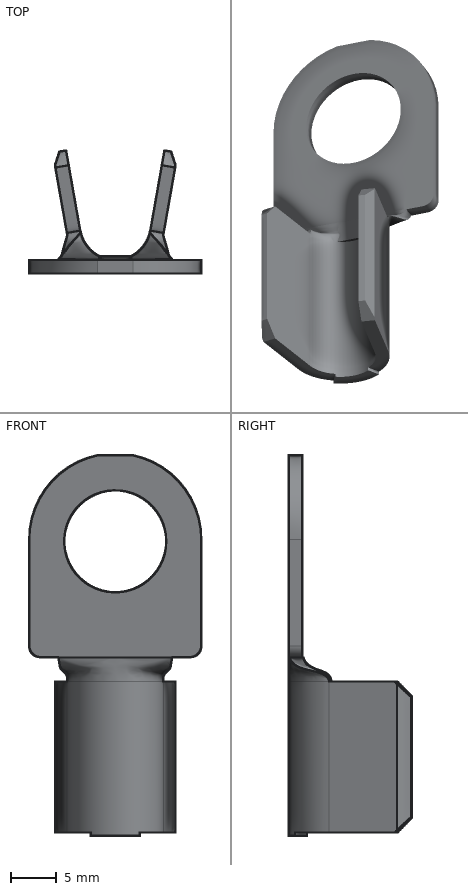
import cadquery as cq
import math


sheet = 1.5

plate_width = 18.8
plate_top = 9.2
plate_bottom = -12.85
hole_diameter = 11.1
hole_drop = 0.2
corner_radius = 1.25

overall_length = 41.53
overall_depth = 13.46
barrel_length = 16.5
barrel_radius = 5.37
wing_lean = 10.0
wing_bevel_length = 1.4
wing_tip_thickness = 0.75
wing_corner = 1.65
tab_height = 0.35
tab_half_angle = 30.0

floor_half_width = 1.75

tab_bottom = plate_top - overall_length
barrel_bottom = tab_bottom + tab_height
barrel_top = barrel_bottom + barrel_length
inner_radius = barrel_radius - sheet
bend_angle = 90.0 - wing_lean
wing_root_depth = barrel_radius - inner_radius * math.cos(math.radians(bend_angle))
wing_length = (overall_depth - wing_root_depth) / math.cos(math.radians(wing_lean))
floor_depth = barrel_radius - math.sqrt(inner_radius**2 - floor_half_width**2)

barrel_half_arc = (barrel_radius - sheet / 2) * math.radians(bend_angle)
neck_stations = [
    (plate_bottom, 2.0, 6.2),
    (plate_bottom - 0.7, 10.0, 6.0),
    (plate_bottom - 1.4, 42.0, 5.8),
    (plate_bottom - 1.9, 72.0, 6.1),
    (barrel_top, bend_angle, barrel_half_arc),
]


def arc_point(radius, centre_depth, degrees):
    """Point on a bend, measured from the front-most point of the arc."""
    angle = math.radians(degrees)
    return (radius * math.sin(angle), centre_depth - radius * math.cos(angle))


def horizontal_plane(height):
    """Plane facing +Z, with its own axes along X and Y."""
    return cq.Workplane("XY", origin=(0, 0, height))


def bent_strip(height, outer_radius, half_angle):
    """Cross-section of the sheet bent symmetrically about the YZ plane."""
    inner = outer_radius - sheet
    return (
        horizontal_plane(height)
        .moveTo(*arc_point(outer_radius, outer_radius, -half_angle))
        .threePointArc((0, 0), arc_point(outer_radius, outer_radius, half_angle))
        .lineTo(*arc_point(inner, outer_radius, half_angle))
        .threePointArc((0, sheet), arc_point(inner, outer_radius, -half_angle))
        .close()
    )


def make_plate():
    half_width = plate_width / 2
    half_flat = math.sqrt(half_width**2 - plate_top**2)
    shoulder = half_width * math.sqrt(0.5)
    outline = (
        cq.Workplane("XZ")
        .moveTo(-half_width, plate_bottom)
        .lineTo(half_width, plate_bottom)
        .lineTo(half_width, 0)
        .threePointArc((shoulder, shoulder), (half_flat, plate_top))
        .lineTo(-half_flat, plate_top)
        .threePointArc((-shoulder, shoulder), (-half_width, 0))
        .close()
    )
    plate = outline.extrude(-sheet).edges("|Y and <Z").fillet(corner_radius)
    hole = cq.Workplane("XZ").center(0, -hole_drop).circle(hole_diameter / 2).extrude(-sheet)
    return plate.cut(hole)


def make_neck():
    wires = []
    for height, half_angle, half_arc in neck_stations:
        outer_radius = half_arc / math.radians(half_angle) + sheet / 2
        wires.append(bent_strip(height, outer_radius, half_angle).wire().val())
    return cq.Workplane(obj=cq.Solid.makeLoft(wires, False))


def make_neck_floor():
    """Wedge that rises from the back of the plate to a flat floor inside the neck."""
    return (
        cq.Workplane("YZ")
        .moveTo(sheet / 2, plate_bottom)
        .lineTo(sheet, plate_bottom)
        .lineTo(floor_depth, barrel_top)
        .lineTo(sheet / 2, barrel_top)
        .close()
        .extrude(floor_half_width, both=True)
    )


def make_wing():
    """Right-hand crimp wing, built along its own lean and bevelled at the tip."""
    across = (*arc_point(1, 0, bend_angle), 0)
    root = arc_point(inner_radius, barrel_radius, bend_angle)
    plane = cq.Plane(origin=(*root, barrel_bottom), xDir=across, normal=(0, 0, 1))
    end_plane = cq.Plane(origin=plane.origin, xDir=plane.yDir, normal=plane.xDir)
    bevel_start = wing_length - wing_bevel_length
    wing = (
        cq.Workplane(plane)
        .lineTo(sheet, 0)
        .lineTo(sheet, bevel_start)
        .lineTo(wing_tip_thickness, wing_length)
        .lineTo(0, wing_length)
        .close()
        .extrude(barrel_length)
    )
    for end, inward in ((0, 1), (barrel_length, -1)):
        corner = (
            cq.Workplane(end_plane)
            .moveTo(wing_length - wing_corner, end)
            .lineTo(wing_length, end)
            .lineTo(wing_length, end + inward * wing_corner)
            .close()
            .extrude(sheet)
        )
        wing = wing.cut(corner)
    return wing


def make_barrel():
    trough = bent_strip(barrel_bottom, barrel_radius, bend_angle).extrude(barrel_length)
    wing = make_wing()
    return trough.union(wing).union(wing.mirror("YZ"))


def make_tab():
    return bent_strip(tab_bottom, barrel_radius, tab_half_angle).extrude(tab_height)


result = make_plate().union(make_neck()).union(make_neck_floor()).union(make_barrel()).union(make_tab())